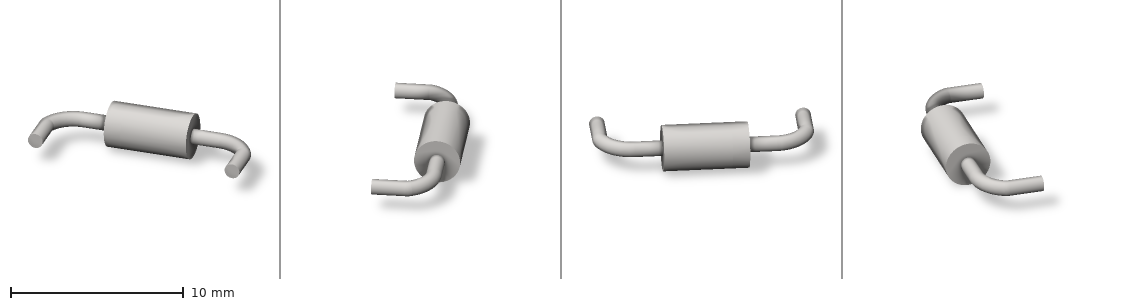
import cadquery as cq
import math

overall_length = 12.9
body_diameter = 2.7
body_length = 5.0
band_width = 1.0
lead_diameter = 0.9
leg_end_drop = 3.4

bend_start = 4.15
main_bend_radius = 1.96
tight_bend_radius = 0.49
leg_offset = (overall_length - lead_diameter) / 2

radius_difference = main_bend_radius - tight_bend_radius
main_bend_angle = math.asin((leg_offset - bend_start - tight_bend_radius) / radius_difference)
leg_top_drop = main_bend_radius - radius_difference * math.cos(main_bend_angle)


def make_body():
    """Body whose round face is divided where the polarity band ends."""
    body_left = cq.Workplane("YZ").workplane(offset=-body_length / 2)
    band = body_left.circle(body_diameter / 2).extrude(band_width)
    main_section = (
        body_left.workplane(offset=band_width)
        .circle(body_diameter / 2)
        .extrude(body_length - band_width)
    )
    return band.union(main_section, clean=False)


def main_bend_point(angle):
    """Point on the wide arc of the right lead, at an angle from its start."""
    x = bend_start + main_bend_radius * math.sin(angle)
    y = main_bend_radius * (math.cos(angle) - 1)
    return (x, y)


def tight_bend_point(angle):
    """Point on the tight arc of the right lead, at the same angle measure."""
    x = leg_offset - tight_bend_radius * (1 - math.sin(angle))
    y = tight_bend_radius * math.cos(angle) - leg_top_drop
    return (x, y)


def make_right_lead():
    tight_bend_middle_angle = (main_bend_angle + math.pi / 2) / 2
    path = (
        cq.Workplane("XY")
        .moveTo(0, 0)
        .lineTo(bend_start, 0)
        .threePointArc(main_bend_point(main_bend_angle / 2), main_bend_point(main_bend_angle))
        .threePointArc(tight_bend_point(tight_bend_middle_angle), (leg_offset, -leg_top_drop))
        .lineTo(leg_offset, -leg_end_drop)
    )
    return cq.Workplane("YZ").circle(lead_diameter / 2).sweep(path)


right_lead = make_right_lead()
left_lead = right_lead.mirror("YZ")
result = make_body().union(right_lead, clean=False).union(left_lead, clean=False)